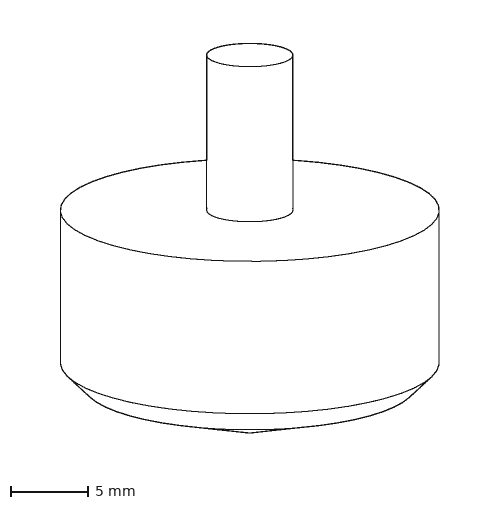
import cadquery as cq

total_height = 25.4
body_diameter = 24.5
stem_diameter = 5.6
stem_height = 10.41
tip_height = 3.25
chamfer = 1.5

body_radius = body_diameter / 2
stem_radius = stem_diameter / 2
tip_radius = body_radius - chamfer
body_top = total_height - stem_height

half_section = (
    cq.Workplane("XZ")
    .moveTo(0, 0)
    .lineTo(tip_radius, tip_height)
    .lineTo(body_radius, tip_height + chamfer)
    .lineTo(body_radius, body_top)
    .lineTo(stem_radius, body_top)
    .lineTo(stem_radius, total_height)
    .lineTo(0, total_height)
    .close()
)

result = half_section.revolve(360, (0, 0, 0), (0, 1, 0))